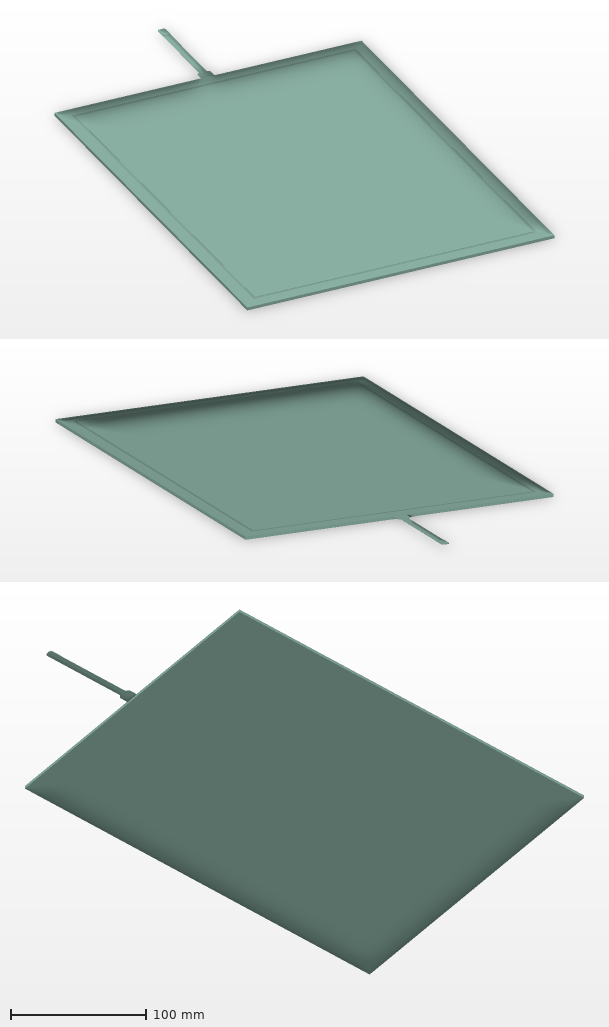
import cadquery as cq

overall_length = 408.0
panel_length = 328.0
panel_width = 252.0
panel_thickness = 2.5
groove_margin = 9.8
groove_width = 2.0
groove_depth = 0.25

overall_height = 2.6
tail_thickness = 0.2
tail_drop = 0.2
tail_width = 6.0
tail_root_width = 11.0
tail_root_length = 7.0
root_taper_length = 2.0
stiffener_length = 9.8
tip_radius = 1.5

panel_left = overall_length - panel_length
panel_center_x = panel_left + panel_length / 2
tail_top = panel_thickness - tail_drop
tail_bottom = tail_top - tail_thickness


def make_panel():
    """Flat rectangular plate with a shallow frame-shaped groove in its top face."""
    plate = cq.Workplane("XY").box(
        panel_length, panel_width, panel_thickness, centered=(True, True, False)
    )
    outer_length = panel_length - 2 * groove_margin
    outer_width = panel_width - 2 * groove_margin
    groove = (
        cq.Workplane("XY")
        .workplane(offset=panel_thickness - groove_depth)
        .rect(outer_length, outer_width)
        .rect(outer_length - 2 * groove_width, outer_width - 2 * groove_width)
        .extrude(groove_depth)
    )
    return plate.cut(groove).translate((panel_center_x, 0, 0))


def make_tail():
    """Thin strip that widens at the panel and carries a stiffener at its tip."""
    half_width = tail_width / 2
    half_root = tail_root_width / 2
    root_start = panel_left - tail_root_length
    upper_edge = [
        (0, half_width),
        (root_start - root_taper_length, half_width),
        (root_start, half_root),
        (panel_left, half_root),
    ]
    lower_edge = [(x, -y) for x, y in reversed(upper_edge)]
    strip = (
        cq.Workplane("XY")
        .workplane(offset=tail_bottom)
        .polyline(upper_edge + lower_edge)
        .close()
        .extrude(tail_thickness)
    )
    stiffener = (
        cq.Workplane("XY")
        .box(stiffener_length, tail_width, overall_height - tail_top, centered=(False, True, False))
        .translate((0, 0, tail_top))
    )
    return strip.union(stiffener).edges("|Z and <X").fillet(tip_radius)


panel = make_panel()
tail = make_tail()

result = cq.Compound.makeCompound([panel.val(), tail.val()])